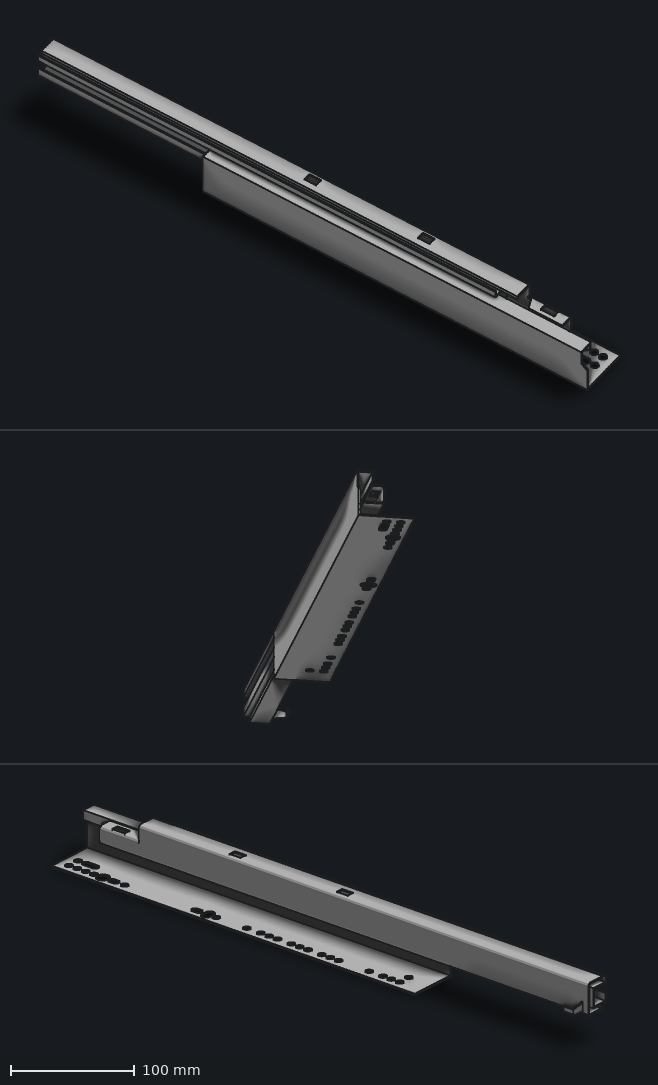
import cadquery as cq

sheet = 1.35
length = 548.0

fixed_start = 167.0
fixed_top_end = 542.0
floor_width = 46.0
fixed_height = 41.0
fixed_flange_width = 13.5
fixed_lip_bottom = 32.5
notch_slope_top = 28.0
notch_slope_bottom = 23.0

hole_diameter = 6.5
outer_row_y = 36.5
inner_row_y = 25.0
first_hole_x = 190.5
last_group_x = 511.5
group_pitch = (last_group_x - first_hole_x) / 10
hole_pitch = 9.0
holes_per_group = {0: 3, 1: 1, 2: 3, 3: 3, 4: 3, 5: 1, 6: 1, 9: 1, 10: 4}
oval_width = 8.0
oval_height = 13.0
oval_x = 392.0
large_hole_x = 502.0
large_hole_diameter = 11.5
slot_length = 10.5
slot_offset = 11.5
inner_slot_x = 524.5
inner_slot_length = 16.5
inner_hole_xs = (first_hole_x, last_group_x + 3 * hole_pitch)

middle_length = 453.0
middle_back_y = 22.0
middle_open_y = 5.5
middle_bottom = 29.5
middle_top = 47.5
middle_lower_lip_top = 38.0
middle_upper_lip_top = 52.5

drawer_length = 471.5
drawer_back_y = 28.5
drawer_open_y = 10.5
drawer_bottom = 24.5
drawer_top = 54.0
drawer_bend = 3.5
drawer_upper_lip_bottom = 51.0
drawer_lower_lip_top = 29.0
tail_end = 512.5
tail_top = fixed_height
tail_flange_y = 15.5
tail_slant_start = 474.5
tail_slant_end = 479.0

window_length = 11.5
window_starts = (256.0, 368.0)
window_y = (17.0, 24.0)
tail_window_x = (487.5, 501.0)
tail_window_y = (20.0, 26.5)

hook_x = 5.5
hook_tip_y = 40.5
hook_foot_end = 16.0
hook_mid_z = 31.0
hook_root_half = 5.0
hook_neck_half = 3.5
hook_tip_half = 2.0
hook_root_y = 32.5
hook_neck_y = 36.0


def block(x_range, y_range, z_range):
    """Rectangular block between the given limits."""
    (x0, x1), (y0, y1), (z0, z1) = x_range, y_range, z_range
    return cq.Workplane("XY").box(x1 - x0, y1 - y0, z1 - z0, centered=False).translate((x0, y0, z0))


def channel(x_range, y_open, y_back, z_bottom, z_top, bend=0):
    """C-shaped channel open towards -Y, with rounded back corners if bend is given."""
    outside = block(x_range, (y_open, y_back), (z_bottom, z_top))
    inside = block(x_range, (y_open, y_back - sheet), (z_bottom + sheet, z_top - sheet))
    if bend:
        outside = outside.faces(">Y").edges("|X").fillet(bend)
        inside = inside.faces(">Y").edges("|X").fillet(bend - sheet)
    return outside.cut(inside)


def floor_slots(points, slot_size, width, angle=0):
    """Cutters with round ends for the floor flange."""
    return cq.Workplane("XY").pushPoints(points).slot2D(slot_size, width, angle).extrude(sheet)


def floor_holes():
    """All screw holes and slots of the floor flange as cutters."""
    outer_holes = [
        (first_hole_x + group * group_pitch + i * hole_pitch, outer_row_y)
        for group, count in holes_per_group.items()
        for i in range(count)
    ]
    inner_holes = [(x, inner_row_y) for x in inner_hole_xs]
    slots = [(oval_x + slot_offset, outer_row_y), (large_hole_x - slot_offset, outer_row_y)]
    round_holes = cq.Workplane("XY").pushPoints(outer_holes + inner_holes)
    large_hole = cq.Workplane("XY").center(large_hole_x, outer_row_y)
    return [
        round_holes.circle(hole_diameter / 2).extrude(sheet),
        floor_slots([(oval_x, outer_row_y)], oval_height, oval_width, 90),
        large_hole.circle(large_hole_diameter / 2).extrude(sheet),
        floor_slots(slots, slot_length, hole_diameter),
        floor_slots([(inner_slot_x, inner_row_y)], inner_slot_length, hole_diameter),
    ]


def make_fixed_rail():
    full_run = (fixed_start, length)
    top_run = (fixed_start, fixed_top_end)
    floor = block(full_run, (0, floor_width), (0, sheet))
    wall = (
        cq.Workplane("XZ")
        .moveTo(fixed_start, 0)
        .lineTo(length, 0)
        .lineTo(length, notch_slope_bottom)
        .lineTo(fixed_top_end, notch_slope_top)
        .lineTo(fixed_top_end, fixed_height)
        .lineTo(fixed_start, fixed_height)
        .close()
        .extrude(-sheet)
    )
    flange = block(top_run, (0, fixed_flange_width), (fixed_height - sheet, fixed_height))
    lip_y = (fixed_flange_width - sheet, fixed_flange_width)
    lip = block(top_run, lip_y, (fixed_lip_bottom, fixed_height))
    for cutter in floor_holes():
        floor = floor.cut(cutter)
    return floor.union(wall).union(flange).union(lip)


def make_middle_rail():
    run = (0, middle_length)
    lip_y = (middle_open_y, middle_open_y + sheet)
    lower_lip = block(run, lip_y, (middle_bottom, middle_lower_lip_top))
    upper_lip = block(run, lip_y, (middle_top - sheet, middle_upper_lip_top))
    body = channel(run, middle_open_y, middle_back_y, middle_bottom, middle_top)
    return body.union(lower_lip).union(upper_lip)


def make_tail():
    """Lower rear end of the drawer rail, its top flange narrowed and slanted at the front."""
    run = (drawer_length, tail_end)
    tail = channel(run, drawer_open_y, drawer_back_y, drawer_bottom, tail_top, drawer_bend)
    bend_y = drawer_back_y - drawer_bend
    trim = (
        cq.Workplane("XY")
        .workplane(offset=tail_top - sheet)
        .moveTo(drawer_length, drawer_open_y)
        .lineTo(tail_end, drawer_open_y)
        .lineTo(tail_end, tail_flange_y)
        .lineTo(tail_slant_end, tail_flange_y)
        .lineTo(tail_slant_start, bend_y)
        .lineTo(drawer_length, bend_y)
        .close()
        .extrude(sheet)
    )
    window = block(tail_window_x, tail_window_y, (tail_top - drawer_bend, tail_top))
    return tail.cut(trim).cut(window)


def make_hook():
    """Tapered plate across the slide, with its tip bent along it."""
    upper_edge = [
        (drawer_back_y, hook_root_half),
        (hook_root_y, hook_neck_half),
        (hook_neck_y, hook_neck_half),
        (hook_tip_y, hook_tip_half),
    ]
    outline = [(y, hook_mid_z + half) for y, half in upper_edge]
    outline += [(y, hook_mid_z - half) for y, half in reversed(upper_edge)]
    plate = cq.Workplane("YZ").workplane(offset=hook_x).polyline(outline).close().extrude(sheet)
    foot_z = (hook_mid_z - hook_tip_half, hook_mid_z + hook_tip_half)
    foot = block((hook_x, hook_foot_end), (hook_tip_y - sheet, hook_tip_y), foot_z)
    return plate.union(foot)


def make_drawer_rail():
    run = (0, drawer_length)
    lip_y = (drawer_open_y, drawer_open_y + sheet)
    upper_lip = block(run, lip_y, (drawer_upper_lip_bottom, drawer_top))
    lower_lip = block((0, tail_end), lip_y, (drawer_bottom, drawer_lower_lip_top))
    rail = channel(run, drawer_open_y, drawer_back_y, drawer_bottom, drawer_top, drawer_bend)
    for start in window_starts:
        window_x = (start, start + window_length)
        rail = rail.cut(block(window_x, window_y, (drawer_top - sheet, drawer_top)))
    return rail.union(upper_lip).union(make_tail()).union(lower_lip).union(make_hook())


fixed_rail = make_fixed_rail()
middle_rail = make_middle_rail()
drawer_rail = make_drawer_rail()

rails = [fixed_rail, middle_rail, drawer_rail]
result = cq.Compound.makeCompound([rail.solids().val() for rail in rails])